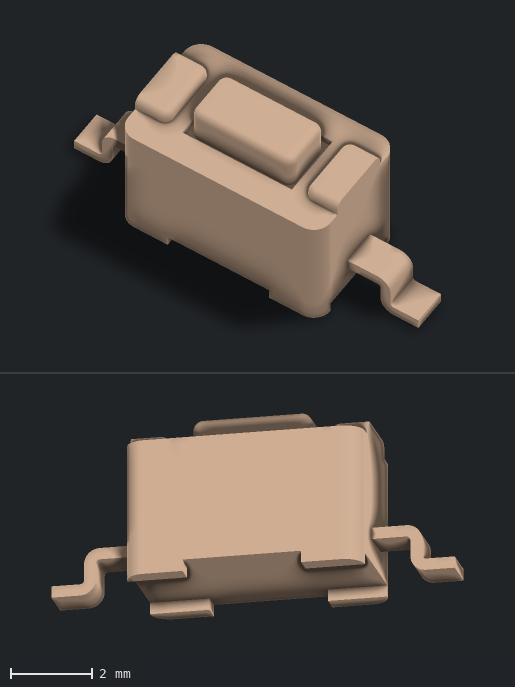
import cadquery as cq

overall_length = 10.2
overall_height = 4.3

body_length = 6.0
body_width = 3.5
body_height = 3.49
corner_radius = 0.5
foot_height = 0.3
foot_gap = 3.0
foot_width = corner_radius

edge_radius = 0.25

button_length = 3.0
button_width = 1.5
window_length = 3.24
window_width = 1.82
window_depth = 0.2

bar_length = 0.98
bar_width = 1.91
bar_top = 3.9

lead_width = 1.0
lead_thickness = 0.3
lead_top = 1.2
lead_step = 0.83
inner_bend = 0.1
outer_bend = inner_bend + lead_thickness


def block(length, width, bottom, top):
    """Box centred on X and Y between two heights."""
    return cq.Workplane("XY", origin=(0, 0, bottom)).rect(length, width).extrude(top - bottom)


def make_body():
    """Rounded housing standing on four corner feet."""
    body = block(body_length, body_width, 0, body_height).edges("|Z").fillet(corner_radius)
    gap_along_y = block(foot_gap, body_width, 0, foot_height)
    gap_along_x = block(body_length, body_width - 2 * foot_width, 0, foot_height)
    return body.cut(gap_along_y).cut(gap_along_x)


def make_window():
    """Pocket in the housing top that leaves a gap around the button."""
    return block(window_length, window_width, body_height - window_depth, body_height)


def make_button():
    """Button rising from the window floor, rounded at its sides and top."""
    button = block(button_length, button_width, body_height - window_depth, overall_height)
    return button.edges("|Z or >Z").fillet(edge_radius)


def make_bar():
    """Raised bar flush with the -X end of the housing, rounded on its other edges."""
    bar = block(bar_length, bar_width, body_height, bar_top)
    bar = bar.edges("(|Z and >X) or (>Z and (not <X))").fillet(edge_radius)
    return bar.translate(((bar_length - body_length) / 2, 0, 0))


def make_lead():
    """Z-shaped strip lead leaving the -X end of the housing."""
    tip = -overall_length / 2
    outer_face = tip + lead_step
    inner_face = outer_face + lead_thickness
    root = -body_length / 2 + lead_thickness
    profile = (
        cq.Workplane("XZ", origin=(0, lead_width / 2, 0))
        .moveTo(tip, 0)
        .lineTo(inner_face - outer_bend, 0)
        .radiusArc((inner_face, outer_bend), -outer_bend)
        .lineTo(inner_face, lead_top - lead_thickness - inner_bend)
        .radiusArc((inner_face + inner_bend, lead_top - lead_thickness), inner_bend)
        .lineTo(root, lead_top - lead_thickness)
        .lineTo(root, lead_top)
        .lineTo(outer_face + outer_bend, lead_top)
        .radiusArc((outer_face, lead_top - outer_bend), -outer_bend)
        .lineTo(outer_face, lead_thickness + inner_bend)
        .radiusArc((outer_face - inner_bend, lead_thickness), inner_bend)
        .lineTo(tip, lead_thickness)
        .close()
    )
    return profile.extrude(lead_width)


result = make_body().cut(make_window()).union(make_button())
for end_part in (make_bar(), make_lead()):
    result = result.union(end_part).union(end_part.mirror("YZ"))